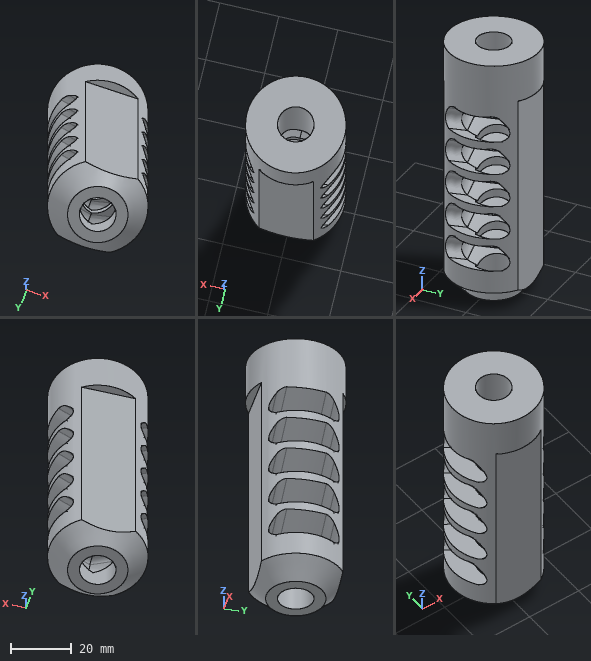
import cadquery as cq
import math

length = 93.0
body_diameter = 33.2
bore_diameter = 12.0
nose_diameter = 19.9
nose_height = 6.7

flat_spacing = 27.6
flat_top = 78.4

port_count = 5
port_pitch = 12.3
first_port_rim = 15.1
port_rise_angle = 30.0
port_rise = 12.1
port_drop = 11.2

back_middle_x = 0.8
back_corner_x = -1.5
back_corner_y = 6.7
corner_middle_x = -1.5
corner_middle_y = 8.3
side_start_x = 0.0
side_start_y = 9.8
side_widest_x = 7.4
port_half_width = 11.9
side_end_y = 9.8
port_clearance = 0.05
front_radius = body_diameter / 2 + port_clearance
side_end_x = math.sqrt(front_radius**2 - side_end_y**2)


def make_body():
    """Round bar with a conical nose at the bottom."""
    straight = (
        cq.Workplane("XY").workplane(offset=nose_height)
        .circle(body_diameter / 2).extrude(length - nose_height)
    )
    nose = (
        cq.Workplane("XY").circle(nose_diameter / 2)
        .workplane(offset=nose_height).circle(body_diameter / 2).loft()
    )
    return straight.union(nose)


def make_flat_cutter(side):
    """Block that leaves a flat on the given Y side (+1 or -1)."""
    depth = body_diameter / 2
    return (
        cq.Workplane("XY")
        .center(0, side * (flat_spacing + depth) / 2)
        .rect(body_diameter, depth).extrude(flat_top)
    )


def make_port(rim_z):
    """Bean-shaped port that slants up towards +X, from the middle plane outwards."""
    section = (
        cq.Workplane("XY", origin=(0, 0, rim_z))
        .moveTo(back_corner_x, -back_corner_y)
        .threePointArc((back_middle_x, 0), (back_corner_x, back_corner_y))
        .threePointArc(
            (corner_middle_x, corner_middle_y),
            (side_start_x, side_start_y),
        )
        .threePointArc((side_widest_x, port_half_width), (side_end_x, side_end_y))
        .threePointArc((front_radius, 0), (side_end_x, -side_end_y))
        .threePointArc((side_widest_x, -port_half_width), (side_start_x, -side_start_y))
        .threePointArc(
            (corner_middle_x, -corner_middle_y),
            (back_corner_x, -back_corner_y),
        )
        .close()
    )
    slope = math.tan(math.radians(port_rise_angle))
    start = cq.Vector(-port_drop / slope, 0, -port_drop)
    height = port_drop + port_rise
    slant = cq.Vector(height / slope, 0, height)
    passage = cq.Workplane(cq.Solid.extrudeLinear(section.val().translate(start), [], slant))
    outer_half = cq.Workplane("XY").box(length, length, 2 * length, centered=(False, True, True))
    return passage.intersect(outer_half)


result = make_body()

for side in (1, -1):
    result = result.cut(make_flat_cutter(side))

bore = cq.Workplane("XY").circle(bore_diameter / 2).extrude(length)
result = result.cut(bore)

for index in range(port_count):
    port = make_port(first_port_rim + index * port_pitch)
    result = result.cut(port)
    result = result.cut(port.rotate((0, 0, 0), (0, 0, 1), 180))